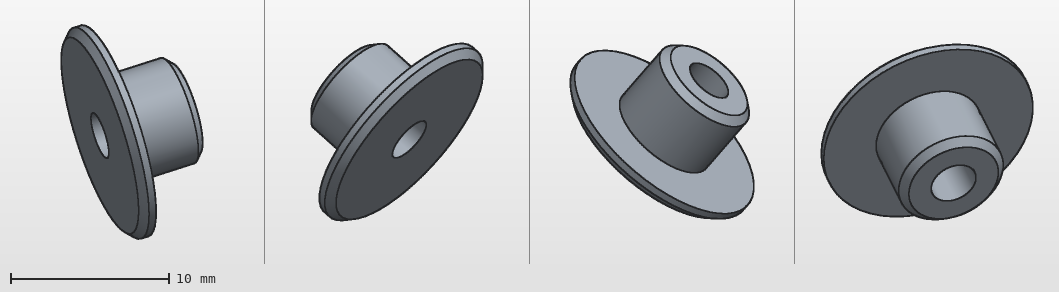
import cadquery as cq

flange_diameter = 14.0
flange_thickness = 1.0
shank_diameter = flange_diameter / 2
total_length = 5.8
bore_diameter = 3.0
edge_chamfer = 0.5


def cylinder_along_y(diameter, length):
    """Cylinder from the flange face at Y = 0 toward +Y."""
    return cq.Workplane("XZ").circle(diameter / 2).extrude(-length)


flange = cylinder_along_y(flange_diameter, flange_thickness).faces("<Y").edges().chamfer(edge_chamfer)

shank = cylinder_along_y(shank_diameter, total_length).faces(">Y").edges().chamfer(edge_chamfer)

bore = cylinder_along_y(bore_diameter, total_length)

result = flange.union(shank).cut(bore)